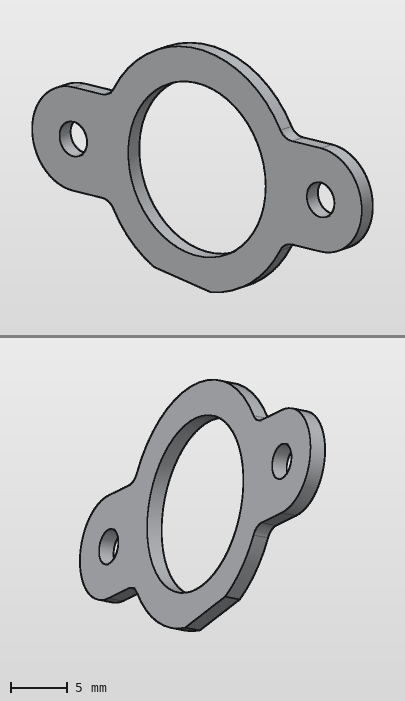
import cadquery as cq
import math

thickness = 1.524
ring_radius = 11.1125
bore_diameter = 15.875
lug_radius = 4.7625
lug_spacing = 28.575
hole_diameter = 3.175
neck_fillet = 1.524
flat_end_x = 1.65
flat_start_x = -4.95


def ring_bottom(x):
    """Point on the lower half of the ring's outer edge at the given x."""
    return (x, -math.sqrt(ring_radius**2 - x**2))


def plate(outline):
    """Extrude a front-plane outline to the plate thickness, centred on Y = 0."""
    return outline.extrude(thickness / 2, both=True)


def make_outline_body():
    """Ring disc joined to a rounded bar, with the four inner corners filleted."""
    disc = plate(cq.Workplane("XZ").circle(ring_radius))
    bar = plate(cq.Workplane("XZ").slot2D(lug_spacing + 2 * lug_radius, 2 * lug_radius))
    neck_x = math.sqrt(ring_radius**2 - lug_radius**2)
    body = disc.union(bar)
    neck_points = [(side * neck_x, level * lug_radius) for side in (-1, 1) for level in (-1, 1)]
    for x, z in neck_points:
        body = body.edges(cq.selectors.NearestToPointSelector((x, 0, z))).fillet(neck_fillet)
    return body


def make_flat_cutter():
    """Segment of the ring lying below the sloped flat."""
    start = ring_bottom(flat_start_x)
    end = ring_bottom(flat_end_x)
    below_ring = -2 * ring_radius
    outline = (
        cq.Workplane("XZ")
        .moveTo(*start)
        .lineTo(*end)
        .lineTo(flat_end_x, below_ring)
        .lineTo(flat_start_x, below_ring)
        .close()
    )
    return plate(outline)


bore = plate(cq.Workplane("XZ").circle(bore_diameter / 2))
lug_centres = [(-lug_spacing / 2, 0), (lug_spacing / 2, 0)]
mounting_holes = plate(cq.Workplane("XZ").pushPoints(lug_centres).circle(hole_diameter / 2))

result = make_outline_body().cut(make_flat_cutter()).cut(bore).cut(mounting_holes)